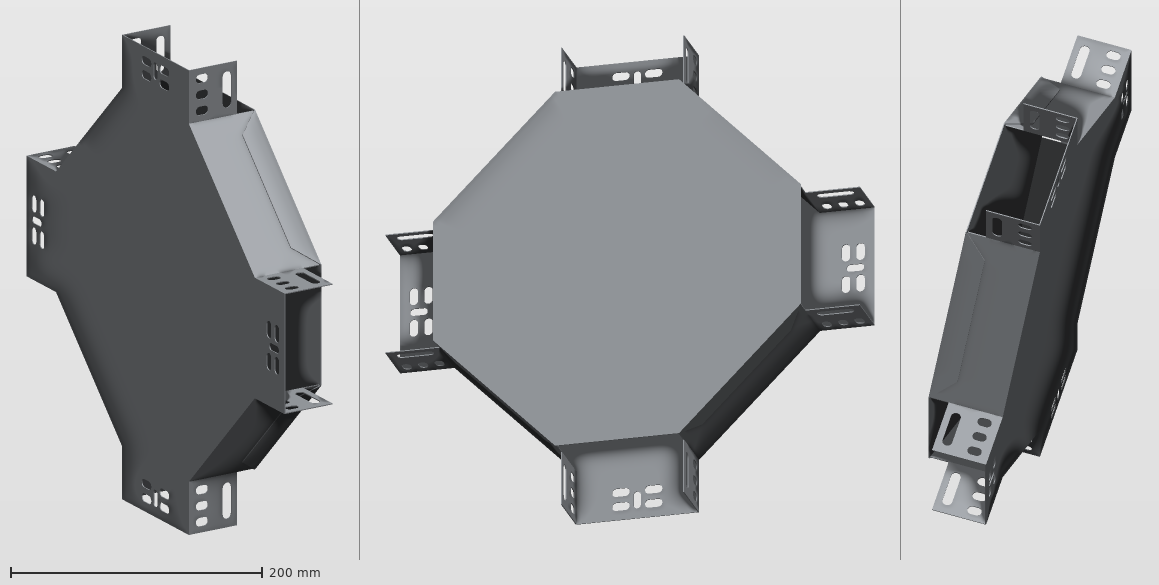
import cadquery as cq
import math

sheet = 0.8
overall_span = 391.34
overall_depth = 61.6

arm_inner_width = 100.0
corner_run = 100.0
tab_height = 45.0
wall_height = 60.0

cover_overhang = 0.8
flap_height = 20.0
flap_end_inset = 19.0

long_slot_length = 30.5
long_slot_width = 8.0
long_slot_height = 35.6
short_slot_length = 11.5
short_slot_width = 7.3
short_slot_height = 12.3
short_slot_spacing = 13.5

floor_slot_length = 14.5
floor_slot_width = 7.0
floor_slot_side = 13.5
floor_slot_distances = (11.5, 23.5)
middle_slot_length = 14.5
middle_slot_width = 6.0
middle_slot_distance = 15.7

half_span = overall_span / 2
arm_width = arm_inner_width + 2 * sheet
half_arm = arm_width / 2
arm_root = half_arm + corner_run
arm_length = half_span - arm_root
cover_bottom = overall_depth - sheet
flap_bottom = overall_depth - flap_height
diagonal_sum = arm_root + half_arm
wall_length = corner_run * math.sqrt(2)
wall_distance = diagonal_sum / math.sqrt(2)
diagonal_sheet = sheet * math.sqrt(2)
cover_half = arm_root + cover_overhang
cover_short_half = diagonal_sum + diagonal_sheet - cover_half
quarter_turns = (0, 90, 180, 270)


def turned(shape, angle):
    """Turn a shape about the Y axis."""
    return shape.rotate((0, 0, 0), (0, 1, 0), angle)


def octagon_plate(long_half, short_half, bottom):
    """Octagonal sheet parallel to XZ, with its lower face at Y = bottom."""
    corners = [
        (long_half, short_half),
        (short_half, long_half),
        (-short_half, long_half),
        (-long_half, short_half),
        (-long_half, -short_half),
        (-short_half, -long_half),
        (short_half, -long_half),
        (long_half, -short_half),
    ]
    outline = cq.Workplane("XZ", origin=(0, bottom, 0)).polyline(corners).close()
    return outline.extrude(-sheet)


def floor_slot_cutter():
    """Four side slots and a middle slot through the floor of the +X arm."""
    floor = cq.Workplane("XZ")
    places = [
        (half_span - distance, side)
        for distance in floor_slot_distances
        for side in (-floor_slot_side, floor_slot_side)
    ]
    side_slots = floor.pushPoints(places).slot2D(floor_slot_length, floor_slot_width, 90)
    side_slots = side_slots.extrude(sheet, both=True)
    middle_place = floor.center(half_span - middle_slot_distance, 0)
    middle_slot = middle_place.slot2D(middle_slot_length, middle_slot_width)
    middle_slot = middle_slot.extrude(sheet, both=True)
    return side_slots.union(middle_slot)


def tab_slot_cutter():
    """One long and three short slots through both side tabs of the +X arm."""
    tab = cq.Workplane("XY")
    middle_x = arm_root + arm_length / 2
    places = [(middle_x + step * short_slot_spacing, short_slot_height) for step in (-1, 0, 1)]
    short_slots = tab.pushPoints(places).slot2D(short_slot_length, short_slot_width, 90)
    short_slots = short_slots.extrude(half_arm, both=True)
    long_slot = tab.center(middle_x, long_slot_height).slot2D(long_slot_length, long_slot_width)
    long_slot = long_slot.extrude(half_arm, both=True)
    return short_slots.union(long_slot)


def arm():
    """The +X arm: a slotted floor with a slotted tab along each side."""
    start = cq.Workplane("XY", origin=(arm_root, 0, 0))
    block = start.box(arm_length, tab_height, arm_width, centered=(False, False, True))
    inside = start.box(arm_length, tab_height, arm_inner_width, centered=(False, False, True))
    channel = block.cut(inside.translate((0, sheet, 0)))
    return channel.cut(floor_slot_cutter()).cut(tab_slot_cutter())


def diagonal_wall():
    """Wall from the corner of the +X arm to the corner of the +Z arm."""
    inner_edge = half_arm - sheet
    inner_sum = diagonal_sum - diagonal_sheet
    points = [
        (arm_root, half_arm),
        (half_arm, arm_root),
        (inner_edge, arm_root),
        (inner_edge, inner_sum - inner_edge),
        (inner_sum - inner_edge, inner_edge),
        (arm_root, inner_edge),
    ]
    return cq.Workplane("XZ").polyline(points).close().extrude(-wall_height)


def flap():
    """Trapezoidal flap of the cover, folded down outside the wall between the +X and +Z arms."""
    half_top = wall_length / 2
    half_bottom = half_top - flap_end_inset
    points = [
        (-half_top, cover_bottom),
        (half_top, cover_bottom),
        (half_bottom, flap_bottom),
        (-half_bottom, flap_bottom),
    ]
    outline = cq.Workplane("XY", origin=(0, 0, wall_distance)).polyline(points).close()
    return turned(outline.extrude(sheet), 45)


base = octagon_plate(arm_root, half_arm, 0)
for angle in quarter_turns:
    base = base.union(turned(arm(), angle))
    base = base.union(turned(diagonal_wall(), angle))

cover = octagon_plate(cover_half, cover_short_half, cover_bottom)
for angle in quarter_turns:
    cover = cover.union(turned(flap(), angle))

result = cq.Compound.makeCompound([base.val(), cover.val()])